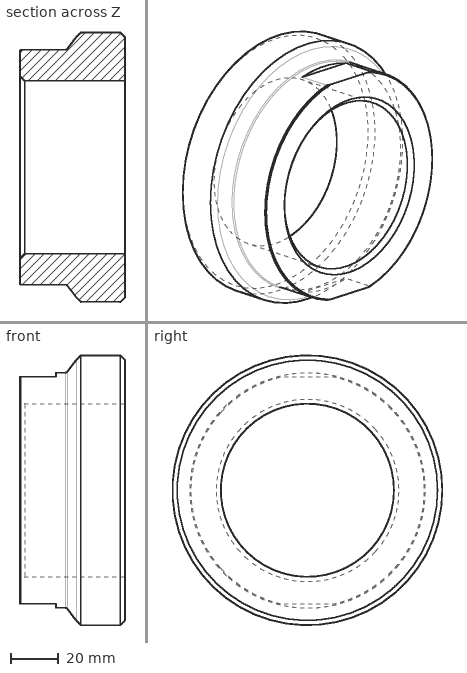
import cadquery as cq
import math

length = 44.0
flange_radius = 56.5
hub_radius = 49.2
bore_radius = 36.1

flange_start = 25.5
edge_chamfer = 2.0
hub_chamfer = 0.5
shoulder_start = 19.5
shoulder_fillet = 0.9

flat_distance = 47.5
flat_length = 15.0

cone_end_x = flange_start - edge_chamfer
cone_end_radius = flange_radius - edge_chamfer
cone_angle = math.atan2(cone_end_radius - hub_radius, cone_end_x - shoulder_start)

tangent_length = shoulder_fillet * math.tan(cone_angle / 2)
fillet_start = (shoulder_start - tangent_length, hub_radius)
fillet_end = (
    shoulder_start + tangent_length * math.cos(cone_angle),
    hub_radius + tangent_length * math.sin(cone_angle),
)
fillet_middle = (
    fillet_start[0] + shoulder_fillet * math.sin(cone_angle / 2),
    hub_radius + shoulder_fillet * (1 - math.cos(cone_angle / 2)),
)


def revolved_body():
    """Hollow ring turned from its half section, drawn as (X, radius)."""
    return (
        cq.Workplane("XY")
        .moveTo(0, bore_radius + edge_chamfer)
        .lineTo(0, hub_radius - hub_chamfer)
        .lineTo(hub_chamfer, hub_radius)
        .lineTo(*fillet_start)
        .threePointArc(fillet_middle, fillet_end)
        .lineTo(cone_end_x, cone_end_radius)
        .lineTo(flange_start, flange_radius)
        .lineTo(length - edge_chamfer, flange_radius)
        .lineTo(length, flange_radius - edge_chamfer)
        .lineTo(length, bore_radius)
        .lineTo(edge_chamfer, bore_radius)
        .close()
        .revolve(360, (0, 0, 0), (1, 0, 0))
    )


def flat_cutter(side):
    """Block that removes the hub material beyond one wrench flat."""
    depth = flange_radius - flat_distance
    center_z = side * (flat_distance + depth / 2)
    return (
        cq.Workplane("XY")
        .box(flat_length, 2 * flange_radius, depth, centered=(False, True, True))
        .translate((0, 0, center_z))
    )


result = revolved_body()
for side in (1, -1):
    result = result.cut(flat_cutter(side))